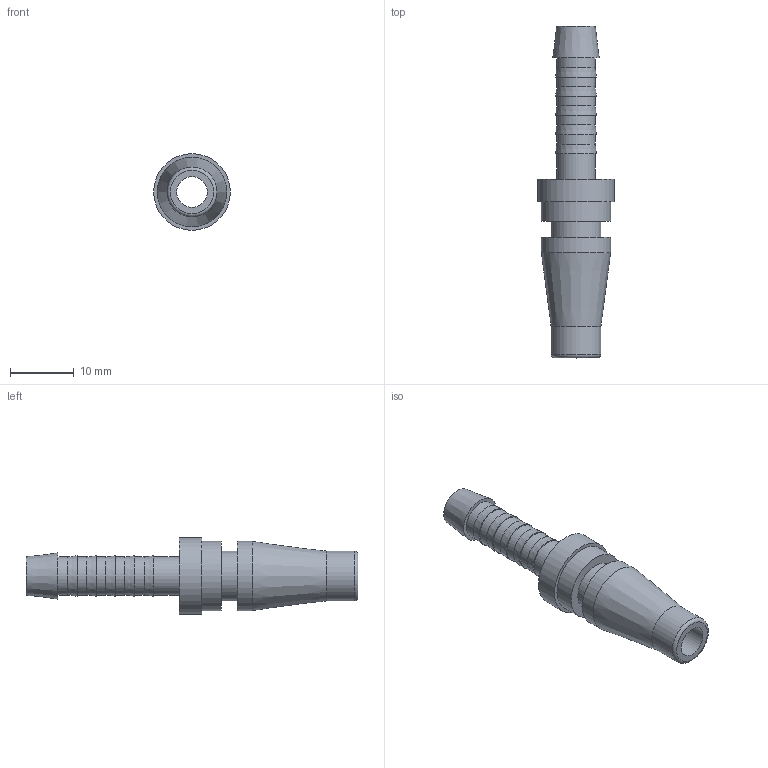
import cadquery as cq

total_length = 52.0
nose_end = 5.0
taper_end = 16.5
front_land_end = 18.9
groove_end = 21.4
rear_land_end = 24.5
flange_end = 28.0

nose_diameter = 7.8
land_diameter = 10.85
groove_diameter = nose_diameter
flange_diameter = 12.0
bore_diameter = 4.85
tip_fillet = 0.5

stem_diameter = 6.05
end_barb_length = 5.0
end_barb_diameter = 7.25
ridge_diameter = 6.35
ridge_length = 1.5
ridge_pitch = 3.0
ridge_count = 5
first_ridge_offset = 8.0


def cone(start, end, start_diameter, end_diameter):
    """Solid cone or cylinder along Y between two stations."""
    return (
        cq.Workplane("XY")
        .moveTo(0, start)
        .lineTo(start_diameter / 2, start)
        .lineTo(end_diameter / 2, end)
        .lineTo(0, end)
        .close()
        .revolve(360, (0, 0, 0), (0, 1, 0))
    )


def cylinder(start, end, diameter):
    return cone(start, end, diameter, diameter)


def plug_body():
    nose = cylinder(0, nose_end, nose_diameter).faces("<Y").edges().fillet(tip_fillet)
    return (
        nose
        .union(cone(nose_end, taper_end, nose_diameter, land_diameter))
        .union(cylinder(taper_end, front_land_end, land_diameter))
        .union(cylinder(front_land_end, groove_end, groove_diameter))
        .union(cylinder(groove_end, rear_land_end, land_diameter))
        .union(cylinder(rear_land_end, flange_end, flange_diameter))
    )


def hose_tail():
    barb_step = total_length - end_barb_length
    tail = cylinder(flange_end, barb_step, stem_diameter)
    tail = tail.union(cone(barb_step, total_length, end_barb_diameter, stem_diameter))
    for index in range(ridge_count):
        step = total_length - first_ridge_offset - index * ridge_pitch
        tail = tail.union(cone(step, step + ridge_length, ridge_diameter, stem_diameter))
    return tail


bore = cylinder(0, total_length, bore_diameter)
result = plug_body().union(hose_tail()).cut(bore)